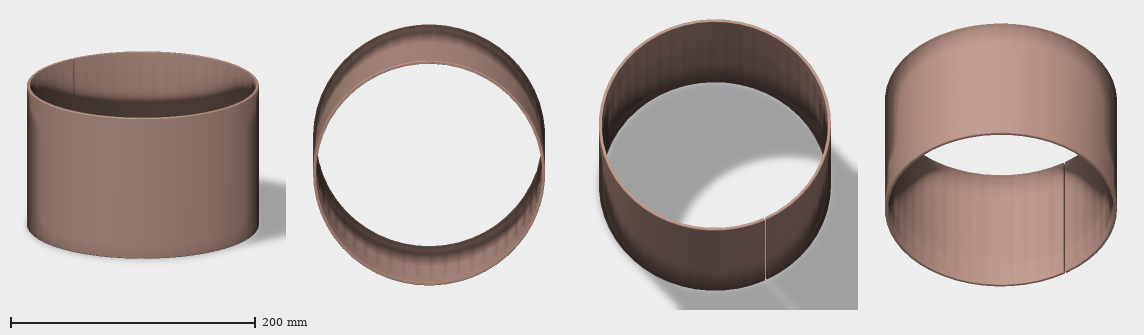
import cadquery as cq

outer_diameter = 190.0
wall = 2.5
height = 120.0
outer_chamfer = 0.5
inner_chamfer = 0.2
slit_angle = 1.0

outer_radius = outer_diameter / 2
inner_radius = outer_radius - wall
full_turn = 360.0


def wall_section():
    """Cross-section of the wall in the XZ plane, on the -X side, with all four corners chamfered."""
    outer_x = -outer_radius
    inner_x = -inner_radius
    return (
        cq.Workplane("XZ")
        .moveTo(outer_x + outer_chamfer, 0)
        .lineTo(outer_x, outer_chamfer)
        .lineTo(outer_x, height - outer_chamfer)
        .lineTo(outer_x + outer_chamfer, height)
        .lineTo(inner_x - inner_chamfer, height)
        .lineTo(inner_x, height - inner_chamfer)
        .lineTo(inner_x, inner_chamfer)
        .lineTo(inner_x - inner_chamfer, 0)
        .close()
    )


def make_split_sleeve():
    """Sweep the wall around Z, stopping short of a full turn to leave a slit with radial sides."""
    axis_start = (0, 0, 0)
    axis_end = (0, 1, 0)
    return wall_section().revolve(full_turn - slit_angle, axis_start, axis_end)


result = make_split_sleeve()